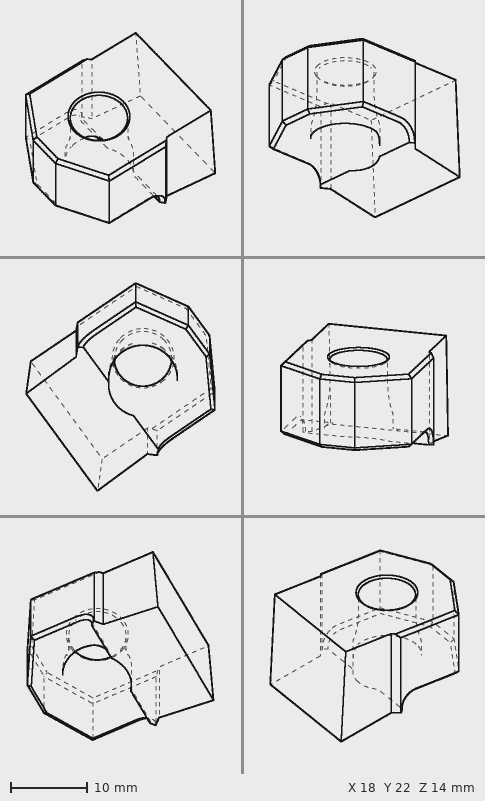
import cadquery as cq
import math

body_width = 18.0
tail_width = 16.2
tail_end = 13.0
shoulder_end = 5.0
nose_reach = body_width / 2
nose_slope = math.radians(30)
nose_corner_y = -body_width / 2 * math.tan(nose_slope)

body_height = 10.0
tail_depth = 4.0
back_tilt = math.radians(3)
bottom_slope = math.radians(10)
step_radius = 2.0
step_wall = 3.5

edge_chamfer = 0.5

hole_radius = 3.75
hole_chamfer = 0.3
flare_top = 6.7
flare_arc_radius = 15.0
bore_radius = 4.5
mouth_fillet = 0.3

cut_margin = 1.0
tolerance = 1e-3


def make_plan():
    """Plan outline extruded over the full height of the part."""
    half_body = body_width / 2
    half_tail = tail_width / 2
    shoulder_start = shoulder_end - (half_body - half_tail)
    nose_half_width = half_body - (nose_reach + nose_corner_y) / math.tan(nose_slope)
    right_side = [
        (nose_half_width, -nose_reach),
        (half_body, nose_corner_y),
        (half_body, shoulder_start),
        (half_tail, shoulder_end),
        (half_tail, tail_end),
    ]
    left_side = [(-x, y) for x, y in reversed(right_side)]
    return (
        cq.Workplane("XY")
        .workplane(offset=-tail_depth)
        .polyline(right_side + left_side)
        .close()
        .extrude(tail_depth + body_height)
    )


def make_side_profile():
    """Side outline in the YZ plane, extruded across the whole width."""
    back_top = tail_end - (body_height + tail_depth) * math.tan(back_tilt)
    wall_foot = -tail_depth + (tail_end - step_wall) * math.tan(bottom_slope)
    step_arc_center_y = step_wall - step_radius
    step_arc_middle = (
        step_arc_center_y + step_radius * math.cos(math.pi / 4),
        -step_radius + step_radius * math.sin(math.pi / 4),
    )
    return (
        cq.Workplane("YZ")
        .moveTo(-nose_reach, body_height)
        .lineTo(back_top, body_height)
        .lineTo(tail_end, -tail_depth)
        .lineTo(step_wall, wall_foot)
        .lineTo(step_wall, -step_radius)
        .threePointArc(step_arc_middle, (step_arc_center_y, 0))
        .lineTo(-nose_reach, 0)
        .close()
        .extrude(body_width / 2, both=True)
    )


def is_outer_rim_edge(edge):
    """True for the top and bottom edges of the flanks, nose flats and step."""
    box = edge.BoundingBox()
    middle = edge.Center()
    is_upright = box.zlen > body_height / 2
    on_flank = abs(middle.x) > body_width / 2 - tolerance
    on_nose = box.ymax < nose_corner_y + tolerance
    ahead_of_step = middle.y < step_wall + tolerance
    return not is_upright and ahead_of_step and (on_flank or on_nose)


def chamfer_outer_rim(body):
    rim = [edge for edge in body.edges().vals() if is_outer_rim_edge(edge)]
    return body.newObject(rim).chamfer(edge_chamfer)


def make_hole():
    """Revolved cutter: top chamfer, straight hole, arc flare and lower bore."""
    top = body_height + cut_margin
    bottom = -tail_depth
    flare_angle = math.acos(1 - (bore_radius - hole_radius) / flare_arc_radius)
    flare_bottom = flare_top - flare_arc_radius * math.sin(flare_angle)
    flare_middle = (
        hole_radius + flare_arc_radius * (1 - math.cos(flare_angle / 2)),
        flare_top - flare_arc_radius * math.sin(flare_angle / 2),
    )
    return (
        cq.Workplane("YZ")
        .moveTo(0, top)
        .lineTo(hole_radius + hole_chamfer + cut_margin, top)
        .lineTo(hole_radius, body_height - hole_chamfer)
        .lineTo(hole_radius, flare_top)
        .threePointArc(flare_middle, (bore_radius, flare_bottom))
        .lineTo(bore_radius, bottom)
        .lineTo(0, bottom)
        .close()
        .revolve(360, (0, 0), (0, 1))
    )


def is_bore_mouth_edge(edge):
    """True where the lower bore opens through the nose underside and the step."""
    box = edge.BoundingBox()
    bore_limit = bore_radius + tolerance
    within_bore = max(-box.xmin, box.xmax, -box.ymin) < bore_limit
    on_underside = box.zmax < tolerance
    on_step = box.ymax < step_wall + tolerance
    return within_bore and on_underside and on_step


def round_bore_mouth(body):
    mouth = [edge for edge in body.edges().vals() if is_bore_mouth_edge(edge)]
    return body.newObject(mouth).fillet(mouth_fillet)


blank = make_plan().intersect(make_side_profile())
rimmed = chamfer_outer_rim(blank)
bored = rimmed.cut(make_hole())
result = round_bore_mouth(bored)